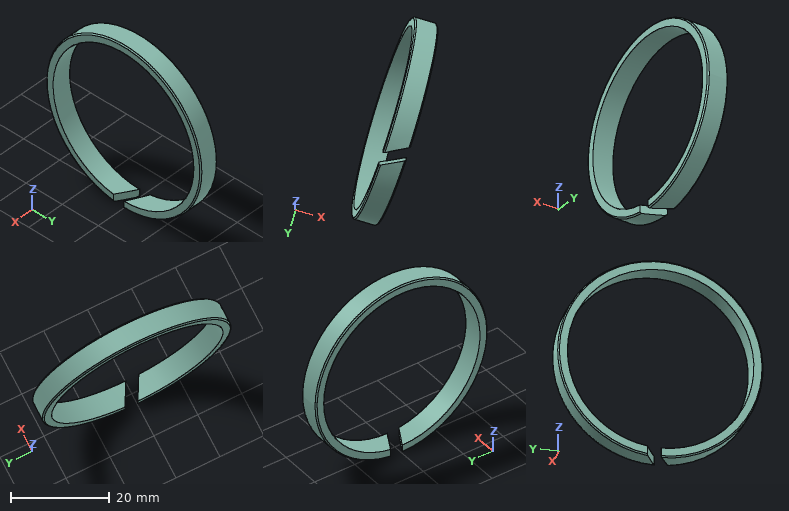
import cadquery as cq

outer_diameter = 43.0
inner_diameter = 39.0
width = 5.0
edge_chamfer = 0.3

gap_far_y = 2.8
gap_near_y = -0.1

half_width = width / 2
outer_radius = outer_diameter / 2


def ring_body():
    """Plain ring with both outer rims chamfered."""
    side_face = cq.Workplane("YZ", origin=(-half_width, 0, 0))
    disc = side_face.circle(outer_radius).extrude(width)
    bore = side_face.circle(inner_diameter / 2).extrude(width)
    return disc.edges("%CIRCLE").chamfer(edge_chamfer).cut(bore)


def slanted_gap():
    """Parallelogram prism that splits the lower half of the ring."""
    corners = [
        (-half_width, gap_near_y),
        (-half_width, gap_far_y),
        (half_width, -gap_near_y),
        (half_width, -gap_far_y),
    ]
    return cq.Workplane("XY").polyline(corners).close().extrude(-outer_radius)


result = ring_body().cut(slanted_gap())